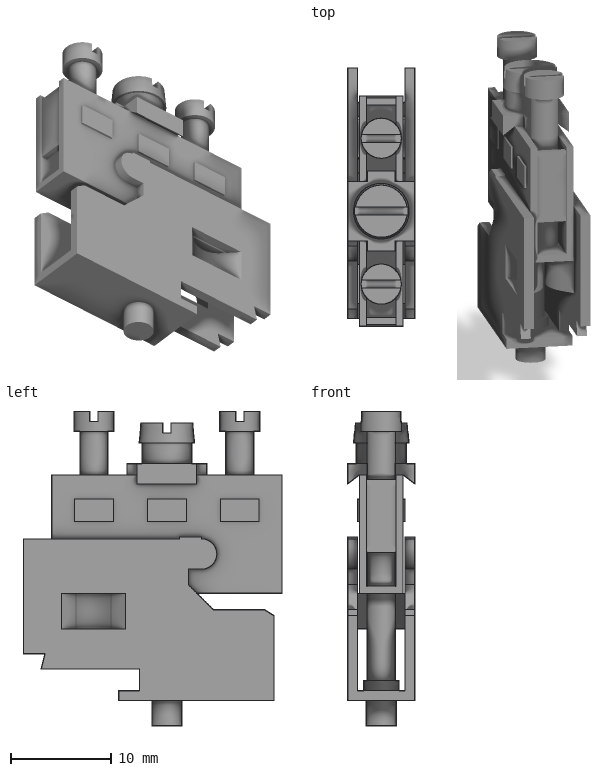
import cadquery as cq
import math


WIDTH = 6.7
SHEET = 1.0
BRACKET_BACK = 14.3
BRACKET_FRONT = -10.7
BRACKET_TOP = 16.13
FLOOR_BACK = 4.8
FOOT_NOTCH_Y = 2.74
SKIRT_BOTTOM = 3.15
SKIRT_BACK = 12.54
STEP_Y = 12.17
STEP_Z = 4.66
LOBE_RADIUS = 1.51
LOBE_Y = -3.47
RAISED_START_Y = -1.27
RAISED_HEIGHT = 0.2
THROAT_Y = -2.15
THROAT_Z = 11.57
LEDGE_Y = -4.63
LEDGE_Z = 9.08
CORNER_CUT_Y = 0.97
CORNER_CUT_Z = 0.61

BULGE_Y = 7.32
BULGE_HALF_LENGTH = 3.19
BULGE_HALF_CHORD = 1.745
BULGE_BOTTOM = 7.16

BLOCK_LENGTH = 22.98
BLOCK_WIDTH = 4.36
BLOCK_BOTTOM = 10.69
BLOCK_TOP = 22.5
BLOCK_WALL = 0.72

CONTACT_SHEET = 0.7
CONTACT_HALF_LENGTH = 11.3
CONTACT_BOTTOM = 14.78
CONTACT_TOP = 22.05
WEB_TOP = 20.3

PAD_LENGTH = 3.88
PAD_BOTTOM = 17.84
PAD_TOP = 20.08
PAD_SPAN = 4.76

CAP_TOP = 23.62
CAP_LENGTH = 5.96
TONGUE_LENGTH = 7.98
TONGUE_WIDTH = 2.7
CLAW_BOTTOM = 21.6

SCREW_PITCH = 7.27
SHANK_RADIUS = 1.4
SCREW_HEAD_RADIUS = 2.0
SCREW_TOP = 28.85
HEAD_HEIGHT = 2.0
SLOT_WIDTH = 0.8
SLOT_DEPTH = 1.0
BOLT_TOP = 27.7
BOLT_HEAD_TOP_RADIUS = 2.6
BOLT_HEAD_BASE_RADIUS = 2.77
BOLT_NECK_RADIUS = 2.5
COLLAR_RADIUS = 1.77
COLLAR_HEIGHT = 1.0
BOLT_END_RADIUS = 1.5
BOLT_END = -2.52

PLATE_INNER_X = WIDTH / 2 - SHEET
BLOCK_INNER_WIDTH = BLOCK_WIDTH - 2 * BLOCK_WALL
BLOCK_FLOOR = BLOCK_BOTTOM + BLOCK_WALL


def box(x_size, y_size, z_bottom, z_top, y_center=0.0):
    """Box centred on X = 0."""
    base = cq.Workplane("XY", origin=(0, y_center, z_bottom))
    return base.rect(x_size, y_size).extrude(z_top - z_bottom)


def cylinder(radius, z_bottom, z_top, y_center=0.0):
    base = cq.Workplane("XY", origin=(0, y_center, z_bottom))
    return base.circle(radius).extrude(z_top - z_bottom)


def driver_slot(z_top, y_center=0.0):
    """Cutter for a screwdriver slot running along X."""
    return box(WIDTH, SLOT_WIDTH, z_top - SLOT_DEPTH, z_top, y_center)


def side_profile():
    """Bracket outline in the YZ plane, extruded over the full width."""
    lobe_z = BRACKET_TOP - LOBE_RADIUS
    lobe_bottom = lobe_z - LOBE_RADIUS
    return (
        cq.Workplane("YZ", origin=(-WIDTH / 2, 0, 0))
        .moveTo(BRACKET_BACK, BRACKET_TOP)
        .lineTo(RAISED_START_Y, BRACKET_TOP)
        .lineTo(RAISED_START_Y, BRACKET_TOP + RAISED_HEIGHT)
        .lineTo(LOBE_Y, BRACKET_TOP + RAISED_HEIGHT)
        .lineTo(LOBE_Y, BRACKET_TOP)
        .threePointArc((LOBE_Y - LOBE_RADIUS, lobe_z), (LOBE_Y, lobe_bottom))
        .lineTo(THROAT_Y, lobe_bottom)
        .lineTo(THROAT_Y, THROAT_Z)
        .lineTo(LEDGE_Y, LEDGE_Z)
        .lineTo(BRACKET_FRONT + CORNER_CUT_Y, LEDGE_Z)
        .lineTo(BRACKET_FRONT, LEDGE_Z - CORNER_CUT_Z)
        .lineTo(BRACKET_FRONT, 0)
        .lineTo(FLOOR_BACK, 0)
        .lineTo(FLOOR_BACK, SHEET)
        .lineTo(FOOT_NOTCH_Y, SHEET)
        .lineTo(FOOT_NOTCH_Y, SKIRT_BOTTOM)
        .lineTo(SKIRT_BACK, SKIRT_BOTTOM)
        .lineTo(STEP_Y, STEP_Z)
        .lineTo(BRACKET_BACK, STEP_Z)
        .close()
        .extrude(WIDTH)
    )


def bulge(offset):
    """Bulge on the -X plate: 45 degree flanks blended by a tangent arc, grown by offset."""
    outer_x = -WIDTH / 2
    half_length = BULGE_HALF_LENGTH + offset * math.sqrt(2)
    radius = BULGE_HALF_CHORD * math.sqrt(2) + offset
    half_chord = radius / math.sqrt(2)
    flank_x = outer_x + half_length - half_chord
    crown_x = flank_x + radius - half_chord
    return (
        cq.Workplane("XY", origin=(0, BULGE_Y, BULGE_BOTTOM))
        .moveTo(outer_x, half_length)
        .lineTo(flank_x, half_chord)
        .threePointArc((crown_x, 0), (flank_x, -half_chord))
        .lineTo(outer_x, -half_length)
        .close()
        .extrude(BLOCK_BOTTOM - BULGE_BOTTOM)
    )


def both_sides(body):
    return body.union(body.mirror("YZ"))


def make_bracket():
    reach = 2 * (BRACKET_BACK - BRACKET_FRONT)
    gap = box(2 * PLATE_INNER_X, reach, SHEET, BLOCK_TOP)
    plates = side_profile().cut(gap)
    return plates.union(both_sides(bulge(SHEET))).cut(both_sides(bulge(0)))


def make_block():
    block = box(BLOCK_WIDTH, BLOCK_LENGTH, BLOCK_BOTTOM, BLOCK_TOP)
    block = block.cut(box(BLOCK_INNER_WIDTH, BLOCK_LENGTH, BLOCK_FLOOR, BLOCK_TOP))
    channel = box(BLOCK_INNER_WIDTH, BLOCK_LENGTH, PAD_BOTTOM, PAD_TOP)
    for y in (-SCREW_PITCH, 0, SCREW_PITCH):
        pads = box(PAD_SPAN, PAD_LENGTH, PAD_BOTTOM, PAD_TOP, y)
        block = block.union(pads.cut(channel))
    return block


def make_contact():
    contact = box(BLOCK_INNER_WIDTH, 2 * CONTACT_HALF_LENGTH, WEB_TOP - CONTACT_SHEET, WEB_TOP)
    end_y = CONTACT_HALF_LENGTH - CONTACT_SHEET / 2
    for y in (-end_y, end_y):
        contact = contact.union(
            box(BLOCK_INNER_WIDTH, CONTACT_SHEET, CONTACT_BOTTOM, CONTACT_TOP, y)
        )
    return contact


def make_cap():
    """Bridge across the block with a claw hooked down on each side and a tongue along Y."""
    half_width = WIDTH / 2
    half_block = BLOCK_WIDTH / 2
    bridge = (
        cq.Workplane("XZ", origin=(0, CAP_LENGTH / 2, 0))
        .moveTo(-half_width, CAP_TOP)
        .lineTo(half_width, CAP_TOP)
        .lineTo(half_width, CLAW_BOTTOM)
        .lineTo(half_block, BLOCK_TOP)
        .lineTo(-half_block, BLOCK_TOP)
        .lineTo(-half_width, CLAW_BOTTOM)
        .close()
        .extrude(CAP_LENGTH)
    )
    return bridge.union(box(TONGUE_WIDTH, TONGUE_LENGTH, BLOCK_TOP, CAP_TOP))


def make_terminal_screw(y):
    head_base = SCREW_TOP - HEAD_HEIGHT
    shank = cylinder(SHANK_RADIUS, BLOCK_FLOOR, head_base, y)
    head = cylinder(SCREW_HEAD_RADIUS, head_base, SCREW_TOP, y)
    return shank.union(head).cut(driver_slot(SCREW_TOP, y))


def make_clamp_bolt():
    head_base = BOLT_TOP - HEAD_HEIGHT
    bolt = (
        cq.Workplane("XZ")
        .moveTo(0, BOLT_END)
        .lineTo(BOLT_END_RADIUS, BOLT_END)
        .lineTo(BOLT_END_RADIUS, SHEET)
        .lineTo(COLLAR_RADIUS, SHEET)
        .lineTo(COLLAR_RADIUS, SHEET + COLLAR_HEIGHT)
        .lineTo(SHANK_RADIUS, SHEET + COLLAR_HEIGHT)
        .lineTo(SHANK_RADIUS, CAP_TOP)
        .lineTo(BOLT_NECK_RADIUS, CAP_TOP)
        .lineTo(BOLT_NECK_RADIUS, head_base)
        .lineTo(BOLT_HEAD_BASE_RADIUS, head_base)
        .lineTo(BOLT_HEAD_TOP_RADIUS, BOLT_TOP)
        .lineTo(0, BOLT_TOP)
        .close()
        .revolve(360, (0, 0, 0), (0, 1, 0))
    )
    return bolt.cut(driver_slot(BOLT_TOP))


result = make_bracket().union(make_block()).union(make_contact()).union(make_cap())
for screw_y in (-SCREW_PITCH, SCREW_PITCH):
    result = result.union(make_terminal_screw(screw_y))
result = result.union(make_clamp_bolt())